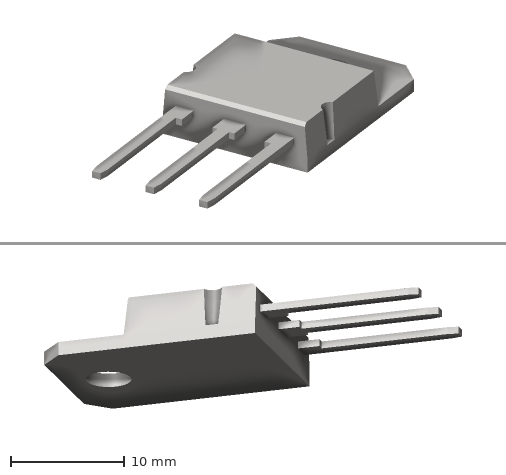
import cadquery as cq
import math


width = 14.95
height = 4.8
housing_length = 12.3
base_height = 1.25
draft_angle = math.radians(5)
draft_inset = (height - base_height) * math.tan(draft_angle)
front_chamfer = 0.33

notch_y = 4.05
notch_top_radius = 0.9
notch_floor_radius = notch_top_radius - draft_inset

tab_length = 8.1
tab_back_y = housing_length + tab_length
tab_corner = 2.0
hole_diameter = 4.05
hole_to_back = 4.15

lead_length = 14.75
lead_thickness = 0.65
lead_bottom_z = 2.47
lead_pitch = 5.5
lead_width = 1.2
shoulder_length = 2.0
shoulder_overhang = 0.53
outer_shoulder_overhang = 0.65
tip_length = 1.0
tip_inset = 0.17


def make_housing():
    half_width = width / 2
    top_half_width = half_width - draft_inset

    side_profile = (
        cq.Workplane("YZ")
        .polyline([
            (0, 0),
            (housing_length, 0),
            (housing_length, base_height),
            (housing_length - draft_inset, height),
            (front_chamfer, height),
            (0, height - front_chamfer),
        ])
        .close()
        .extrude(half_width, both=True)
    )
    end_profile = (
        cq.Workplane("XZ")
        .polyline([
            (-half_width, 0),
            (half_width, 0),
            (half_width, base_height),
            (top_half_width, height),
            (-top_half_width, height),
            (-half_width, base_height),
        ])
        .close()
        .extrude(-housing_length)
    )
    body = side_profile.intersect(end_profile)
    for side in (-1, 1):
        body = body.cut(make_notch_cutter(side * half_width))
    return body


def make_notch_cutter(x):
    return cq.Workplane(
        cq.Solid.makeCone(
            notch_floor_radius,
            notch_top_radius,
            height - base_height,
            pnt=cq.Vector(x, notch_y, base_height),
        )
    )


def make_tab():
    half_width = width / 2
    return (
        cq.Workplane("XY")
        .polyline([
            (-half_width, housing_length),
            (half_width, housing_length),
            (half_width, tab_back_y - tab_corner),
            (half_width - tab_corner, tab_back_y),
            (-half_width + tab_corner, tab_back_y),
            (-half_width, tab_back_y - tab_corner),
        ])
        .close()
        .extrude(base_height)
        .cut(
            cq.Workplane("XY")
            .center(0, tab_back_y - hole_to_back)
            .circle(hole_diameter / 2)
            .extrude(base_height)
        )
    )


def make_lead(x, left_overhang, right_overhang):
    """Flat lead centred on x, with a wider shoulder next to the housing."""
    left = x - lead_width / 2
    right = x + lead_width / 2
    blade = (
        cq.Workplane("XY", origin=(0, 0, lead_bottom_z))
        .polyline([
            (left, 0),
            (right, 0),
            (right, tip_length - lead_length),
            (right - tip_inset, -lead_length),
            (left + tip_inset, -lead_length),
            (left, tip_length - lead_length),
        ])
        .close()
        .extrude(lead_thickness)
    )
    shoulder_width = left_overhang + lead_width + right_overhang
    shoulder = cq.Workplane("XY").box(
        shoulder_width, shoulder_length, lead_thickness, centered=False
    ).translate((left - left_overhang, -shoulder_length, lead_bottom_z))
    return blade.union(shoulder)


housing = make_housing()
tab = make_tab()

lead_layout = [
    (-lead_pitch, 0, outer_shoulder_overhang),
    (0, shoulder_overhang, shoulder_overhang),
    (lead_pitch, outer_shoulder_overhang, 0),
]
leads = [make_lead(*placement) for placement in lead_layout]

result = cq.Compound.makeCompound([
    housing.val(),
    tab.val(),
    *[lead.val() for lead in leads],
])